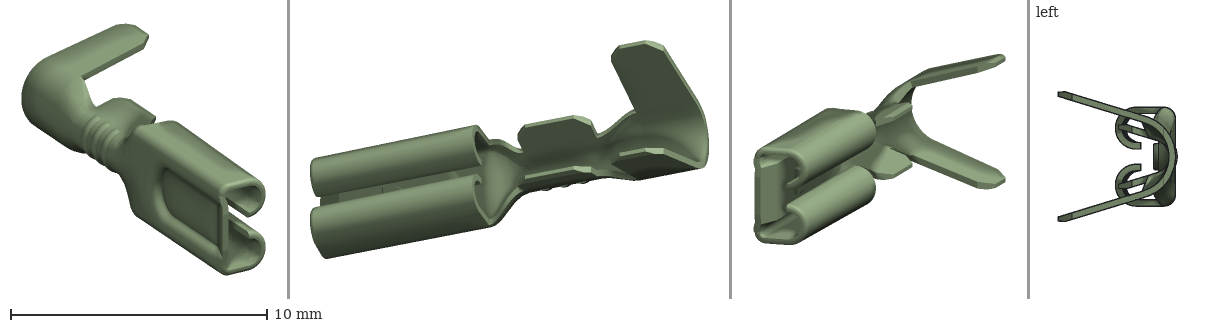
import cadquery as cq
import math

sheet = 0.26
wing_sweep = 73.0

insulation_end = 2.55
wire_start = 4.29
wire_end = 7.35
box_start = 9.0
box_end = 16.07
terminal_end = 16.13

insulation_radius = 1.65
insulation_bevel_y = 4.32
insulation_top = 4.58
insulation_corner_y = 4.05
insulation_corner_run = 0.55
insulation_lean = 0.35
insulation_lean_y = 0.48

wire_radius = 0.9
wire_bevel_y = 1.94
wire_top = 2.23
wire_corner_y = 1.71
wire_corner_run = 0.52

bevel_inset = 0.15
bevel_length = 0.35

ridge_count = 3
ridge_pitch = 0.77
ridge_width = 0.4
ridge_height = 0.06
ridge_middle = 5.84

insulation_stub = 0.08
wire_stub = 0.35
box_stub = 0.03
even_stub_ease = 1.0
box_stub_ease = 0.5
transition_steps = 6
wire_floor_sweep = 40.0
box_wall_sweep = 90.0
box_floor_sweep = 0.5

box_half_width = 1.94
corner_radius = 0.47
floor_half = box_half_width - corner_radius
curl_radius = 0.82
curl_centre_back = 1.53
curl_centre_mouth = 1.37
curl_lip_y = 1.35
box_height = curl_centre_back + curl_radius
mouth_lean = 0.2
mouth_round = 0.18

panel_depth = 0.4
panel_bend = 0.48
panel_sweep = 65.0
panel_arc_x = 11.6
ramp_start = 15.21
lip_depth = 0.08
lip_bend = 0.97
lip_sweep = 22.0
lip_corner_x = 16.03
lip_flat_half = 0.76

stud_radius = 0.52
stud_arc_x = 12.95
stud_flat_x = 13.37
stud_round = 0.1
stud_height = 0.21


def mirrored_wire(x, path):
    """Closed YZ wire at station x, symmetric about the centre plane.

    The path starts on the centre plane with a ("span", middle, end) arc or line crossing it, and
    continues on the +Z half with ("line", end) and ("arc", middle, end) steps; points are (y, z).
    A second ("span", start, middle) closes the outline across the centre plane.
    """
    def vec(point, side=1):
        return cq.Vector(x, point[0], side * point[1])

    def crossing(middle, end):
        if middle[0] == end[0]:
            return cq.Edge.makeLine(vec(end, -1), vec(end))
        return cq.Edge.makeThreePointArc(vec(end, -1), vec(middle), vec(end))

    first, *steps, last = path
    edges = [crossing(first[1], first[2]), crossing(last[2], last[1])]
    here = first[2]
    for kind, *points in steps:
        make = cq.Edge.makeLine if kind == "line" else cq.Edge.makeThreePointArc
        for side in (1, -1):
            edges.append(make(*[vec(p, side) for p in (here, *points)]))
        here = points[-1]
    return cq.Wire.combine(edges)[0]


def sheet_wire(x, face_path):
    """Closed section of the sheet between its outer face and its inner face.

    face_path(offset) gives the half path of the face lying `offset` inside the outer face.
    """
    outer = face_path(0)
    inner = face_path(sheet)
    back = []
    for step, before in zip(reversed(inner[1:]), reversed(inner[:-1])):
        back.append((step[0], *step[1:-1], before[-1]))
    first_inner = inner[0]
    turn = ("line", inner[-1][-1])
    return mirrored_wire(x, outer + [turn] + back + [("span", first_inner[2], first_inner[1])])


def trough_face(section, offset):
    """Half path of a trough face: wide floor arc, tighter corner arc and straight edge."""
    floor_half_width, floor_sweep, corner, sweep, stub = section
    floor_radius = floor_half_width / math.sin(math.radians(floor_sweep))
    corner_y = floor_radius + (corner - floor_radius) * math.cos(math.radians(floor_sweep))
    corner_z = (floor_radius - corner) * math.sin(math.radians(floor_sweep))

    def on_arc(y, z, radius, degrees):
        a = math.radians(degrees)
        return (y - (radius - offset) * math.cos(a), z + (radius - offset) * math.sin(a))

    path = [("span", (offset, 0), on_arc(floor_radius, 0, floor_radius, floor_sweep))]
    if floor_sweep < sweep:
        middle = on_arc(corner_y, corner_z, corner, (floor_sweep + sweep) / 2)
        path.append(("arc", middle, on_arc(corner_y, corner_z, corner, sweep)))
    a = math.radians(sweep)
    bend_y, bend_z = path[-1][-1]
    path.append(("line", (bend_y + stub * math.sin(a), bend_z + stub * math.cos(a))))
    return path


def trough_wire(x, section):
    return sheet_wire(x, lambda offset: trough_face(section, offset))


def barrel_section(radius, floor_sweep, stub):
    """Trough section of a barrel: one radius all round, then straight wings."""
    floor_half_width = radius * math.sin(math.radians(floor_sweep))
    return (floor_half_width, floor_sweep, radius, wing_sweep, stub)


def bend_height(radius):
    """Height at which a barrel's outer face becomes straight."""
    return radius * (1 - math.cos(math.radians(wing_sweep)))


def barrel_blank(start, end, radius, bevel_y):
    """Barrel with full-length wings whose tips are bevelled on the outer face."""
    a = math.radians(wing_sweep)
    stub = (bevel_y - bend_height(radius)) / math.sin(a)
    section = barrel_section(radius, wing_sweep, stub)

    def face(offset):
        inset = bevel_inset if offset == 0 else 0
        path = trough_face(section, offset)
        y, z = path[-1][-1]
        tip_y = y + bevel_length * math.sin(a) + inset * math.cos(a)
        tip_z = z + bevel_length * math.cos(a) - inset * math.sin(a)
        return path + [("line", (tip_y, tip_z))]

    wire = sheet_wire(start, face)
    return cq.Workplane(obj=cq.Solid.extrudeLinear(wire, [], cq.Vector(end - start, 0, 0)))


def side_trim(points):
    """Prism of an XY outline, wide enough to cover both wings."""
    return cq.Workplane("XY").polyline(points).close().extrude(insulation_top, both=True)


def insulation_barrel():
    corner_x = insulation_end - insulation_corner_run
    outline = [
        (0, 0),
        (0, insulation_lean_y),
        (insulation_lean, insulation_corner_y),
        (insulation_lean + insulation_corner_run, insulation_top),
        (corner_x, insulation_top),
        (insulation_end, insulation_corner_y),
        (insulation_end, 0),
    ]
    blank = barrel_blank(0, insulation_end, insulation_radius, insulation_bevel_y)
    return blank.intersect(side_trim(outline))


def wire_barrel():
    outline = [
        (wire_start, 0),
        (wire_start, wire_corner_y),
        (wire_start + wire_corner_run, wire_top),
        (wire_end - wire_corner_run, wire_top),
        (wire_end, wire_corner_y),
        (wire_end, 0),
    ]
    blank = barrel_blank(wire_start, wire_end, wire_radius, wire_bevel_y)
    return blank.intersect(side_trim(outline))


def ridge(x):
    """Rounded ridge around the wire barrel bend, rooted halfway into the sheet."""
    root = sheet / 2
    half = ridge_width / 2
    profile = (
        cq.Workplane("XY")
        .moveTo(x - half, root)
        .lineTo(x - half, 0)
        .threePointArc((x, -ridge_height), (x + half, 0))
        .lineTo(x + half, root)
        .close()
    )
    turned = profile.revolve(2 * wing_sweep, (0, wire_radius, 0), (1, wire_radius, 0))
    return turned.rotate((0, wire_radius, 0), (1, wire_radius, 0), -wing_sweep)


def transition(start, end, first, last, stub_ease):
    """Trough blending smoothly between two trough sections.

    A stub_ease below 1 makes the straight edge reach its final length sooner.
    """
    wires = []
    for i in range(transition_steps + 1):
        t = i / transition_steps
        blend = t * t * (3 - 2 * t)
        section = [a + (b - a) * blend for a, b in zip(first, last)]
        section[-1] = first[-1] + (last[-1] - first[-1]) * blend ** stub_ease
        wires.append(trough_wire(start + (end - start) * t, section))
    return cq.Workplane(obj=cq.Solid.makeLoft(wires))


def box_wire(x, curl_centre):
    """Box section: flat floor, rounded corners, side walls and inward-rolled edges."""
    curl_z = box_half_width - curl_radius

    def face(offset):
        bend = corner_radius - offset
        wall_z = box_half_width - offset
        roll = curl_radius - offset
        diagonal = bend * math.sqrt(0.5)
        return [
            ("span", (offset, 0), (offset, floor_half)),
            ("arc", (corner_radius - diagonal, floor_half + diagonal), (corner_radius, wall_z)),
            ("line", (curl_centre, wall_z)),
            ("arc", (curl_centre + roll, curl_z), (curl_centre, curl_z - roll)),
            ("line", (curl_lip_y, curl_z - roll)),
        ]

    return sheet_wire(x, face)


def on_outer_face(edge):
    """True for a mouth edge that borders the outside of the box."""
    middle = edge.positionAt(0.5)
    inner_floor = middle.y > sheet / 2
    inner_wall = abs(middle.z) < box_half_width - sheet / 2
    inner_curl = middle.y < curl_centre_mouth + curl_radius - sheet / 2
    return not (inner_floor and inner_wall and inner_curl)


def receptacle_shell():
    shell = cq.Workplane(obj=cq.Solid.makeLoft(
        [box_wire(box_start, curl_centre_back), box_wire(terminal_end, curl_centre_mouth)], True
    ))
    mouth = [
        (box_start, 0),
        (box_end, 0),
        (box_end - mouth_lean, box_height),
        (box_start, box_height),
    ]
    shell = shell.intersect(side_trim(mouth))
    mouth_face = shell.faces(">X").val()
    rim = [edge for edge in mouth_face.Edges() if on_outer_face(edge)]
    return shell.newObject(rim).fillet(mouth_round)


def panel_profile(base, bend, sweep, top):
    """Half profile of a panel: skirt, concave foot bend, tangent sloping wall and flat top."""
    foot = base + sheet

    def on_bend(degrees):
        a = math.radians(degrees)
        return (foot + bend * (1 - math.cos(a)), floor_half - bend * math.sin(a))

    bend_y, bend_z = on_bend(sweep)
    top_half = bend_z - (top - bend_y) / math.tan(math.radians(sweep))
    return [
        ("span", (base, 0), (base, floor_half)),
        ("line", (foot, floor_half)),
        ("arc", on_bend(sweep / 2), (bend_y, bend_z)),
        ("line", (top, top_half)),
        ("span", (top, top_half), (top, 0)),
    ]


def panel_form(base, offset):
    """Round-ended panel that ramps down to the lip, `offset` inside the outer face."""
    foot = base + sheet
    profile = panel_profile(base, panel_bend - offset, panel_sweep, foot + panel_depth)
    lip_profile = panel_profile(base, lip_bend - offset, lip_sweep, foot + lip_depth)

    straight = cq.Solid.extrudeLinear(
        mirrored_wire(panel_arc_x, profile), [], cq.Vector(ramp_start - panel_arc_x, 0, 0)
    )
    ramp = cq.Solid.makeLoft(
        [mirrored_wire(ramp_start, profile), mirrored_wire(terminal_end, lip_profile)], True
    )
    skirt, edge, foot, wall, roof = profile
    round_end = (
        cq.Workplane("YZ", origin=(panel_arc_x, 0, 0))
        .polyline([skirt[1], skirt[2], edge[1]])
        .threePointArc(*foot[1:])
        .lineTo(*wall[1])
        .lineTo(*roof[2])
        .close()
        .revolve(360, (0, 0, 0), (1, 0, 0))
    )
    return round_end.union(cq.Workplane(obj=straight)).union(cq.Workplane(obj=ramp))


def receptacle():
    raised = panel_form(0, sheet)
    hollow = panel_form(-sheet, 0)
    body = receptacle_shell().union(raised).cut(hollow)
    corner = (
        cq.Workplane("XZ")
        .polyline([
            (lip_corner_x, floor_half),
            (terminal_end, lip_flat_half),
            (terminal_end, floor_half),
        ])
        .close()
        .extrude(-(sheet + panel_depth))
    )
    return body.cut(corner).cut(corner.mirror("XY"))


def detent_stud():
    """D-shaped stud, flush outside and standing proud inside the raised panel."""
    return (
        cq.Workplane("XZ", origin=(0, panel_depth, 0))
        .moveTo(stud_flat_x, -stud_radius)
        .lineTo(stud_arc_x, -stud_radius)
        .threePointArc((stud_arc_x - stud_radius, 0), (stud_arc_x, stud_radius))
        .lineTo(stud_flat_x, stud_radius)
        .close()
        .extrude(-(sheet + stud_height))
        .faces(">Y")
        .edges()
        .fillet(stud_round)
    )


insulation_edge = barrel_section(insulation_radius, wing_sweep, insulation_stub)
wire_edge = barrel_section(wire_radius, wing_sweep, wire_stub)
wire_floor_edge = barrel_section(wire_radius, wire_floor_sweep, wire_stub)
box_edge = (floor_half, box_floor_sweep, corner_radius, box_wall_sweep, box_stub)

stud = detent_stud()
barrel_neck = transition(insulation_end, wire_start, insulation_edge, wire_edge, even_stub_ease)
box_neck = transition(wire_end, box_start, wire_floor_edge, box_edge, box_stub_ease)
terminal = insulation_barrel()
for section in (barrel_neck, wire_barrel(), box_neck, receptacle()):
    terminal = terminal.union(section)
for i in range(ridge_count):
    terminal = terminal.union(ridge(ridge_middle + (i - (ridge_count - 1) / 2) * ridge_pitch))
terminal = terminal.cut(stud)

result = cq.Compound.makeCompound([*terminal.solids().vals(), stud.val()])